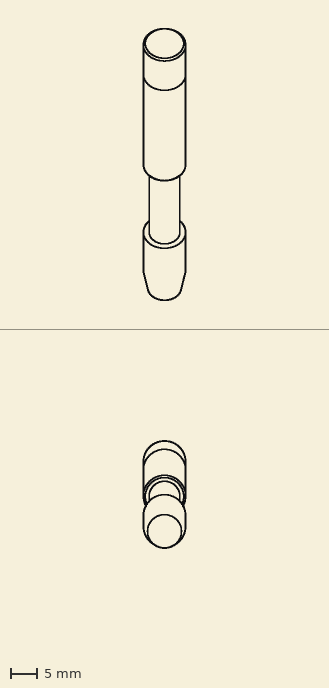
import cadquery as cq

total_length = 74.9
body_radius = 4.01
neck_radius = 2.9
taper_end_radius = 3.2
edge_chamfer = 0.4

point_length = 3.2
taper_length = 5.0
collar_length = 11.2
neck_length = 19.5
cap_length = 9.0

taper_bottom = point_length
collar_bottom = taper_bottom + taper_length
collar_top = collar_bottom + collar_length
shank_bottom = collar_top + neck_length
shank_top = total_length - cap_length


def make_pin():
    """Turned pin: conical point, tapered collar, neck and chamfered shank."""
    half_profile = (
        cq.Workplane("XZ")
        .moveTo(0, 0)
        .lineTo(taper_end_radius, taper_bottom)
        .lineTo(body_radius, collar_bottom)
        .lineTo(body_radius, collar_top)
        .lineTo(neck_radius, collar_top)
        .lineTo(neck_radius, shank_bottom)
        .lineTo(body_radius - edge_chamfer, shank_bottom)
        .lineTo(body_radius, shank_bottom + edge_chamfer)
        .lineTo(body_radius, shank_top)
        .lineTo(0, shank_top)
        .close()
    )
    return half_profile.revolve(360, (0, 0, 0), (0, 1, 0))


def make_cap():
    """Cylindrical cap on the flat end of the shank, flush with its side."""
    return (
        cq.Workplane("XY", origin=(0, 0, shank_top))
        .circle(body_radius)
        .extrude(cap_length)
        .faces(">Z")
        .chamfer(edge_chamfer)
    )


pin = make_pin()
cap = make_cap()

result = cq.Compound.makeCompound([pin.val(), cap.val()])